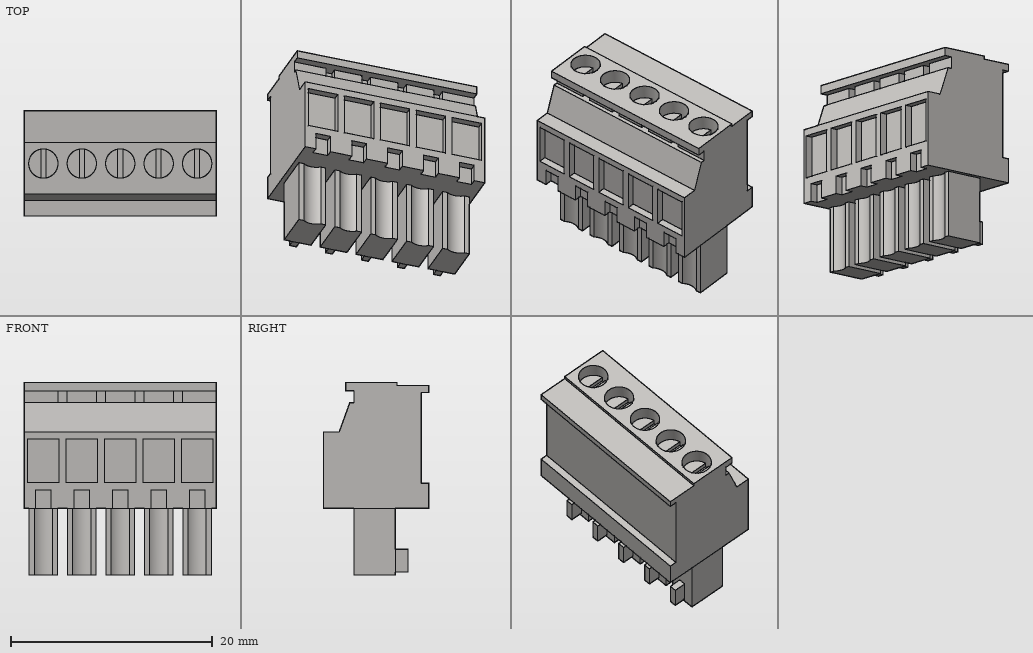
import cadquery as cq

pole_count = 5
width = 19.05
pitch = width / pole_count
pole_centres = [(i + 0.5) * pitch for i in range(pole_count)]
pole_boundaries = [i * pitch for i in range(1, pole_count)]

depth = 10.45
back_wall_y = 9.7
top_step_y = 7.3
neck_front_y = 3.02
slope_top_y = 2.6
lip_front_y = 2.2
slope_foot_y = 1.55

top_z = 19.1
back_flange_top_z = 18.8
lip_bottom_z = 18.26
back_flange_bottom_z = 18.09
neck_floor_z = 17.1
slope_foot_z = 14.2
back_foot_z = 9.11
base_z = 6.63

recess_depth = 0.76
window_width = 3.11
window_bottom_z = 9.19
window_top_z = 13.48
notch_width = 1.55
notch_top_z = 8.42
neck_gap_width = 0.9

prong_width = 2.85
prong_back_y = 7.12
groove_width = 1.8
groove_sag = 0.3
key_width = 0.73
key_back_y = 8.38
key_bottom_z = 0.3
key_top_z = 2.58

screw_diameter = 2.9
screw_y = 5.2
screw_top_z = 17.63
screw_height = 1.91
slot_width = 0.5
slot_depth = 0.5
screw_bottom_z = screw_top_z - screw_height


def block(x_centre, x_size, y_min, y_max, z_min, z_max):
    """Axis-aligned block centred on x_centre and spanning the given Y and Z ranges."""
    return (
        cq.Workplane("XY")
        .box(x_size, y_max - y_min, z_max - z_min, centered=(True, False, False))
        .translate((x_centre, y_min, z_min))
    )


def make_shell():
    """Housing above the prongs: the side profile extruded over the full width."""
    profile = [
        (0, base_z),
        (depth, base_z),
        (depth, back_foot_z),
        (back_wall_y, back_foot_z),
        (back_wall_y, back_flange_bottom_z),
        (depth, back_flange_bottom_z),
        (depth, back_flange_top_z),
        (top_step_y, back_flange_top_z),
        (top_step_y, top_z),
        (lip_front_y, top_z),
        (lip_front_y, lip_bottom_z),
        (neck_front_y, lip_bottom_z),
        (neck_front_y, neck_floor_z),
        (slope_top_y, neck_floor_z),
        (slope_foot_y, slope_foot_z),
        (0, slope_foot_z),
    ]
    return cq.Workplane("YZ").polyline(profile).close().extrude(width)


def make_prong(x):
    """Contact prong with a full-height arc groove in its front face and a key on its back."""
    half_groove = groove_width / 2
    half_prong = prong_width / 2
    body = (
        cq.Workplane("XY")
        .moveTo(x - half_prong, neck_front_y)
        .lineTo(x - half_groove, neck_front_y)
        .threePointArc((x, neck_front_y + groove_sag), (x + half_groove, neck_front_y))
        .lineTo(x + half_prong, neck_front_y)
        .lineTo(x + half_prong, prong_back_y)
        .lineTo(x - half_prong, prong_back_y)
        .close()
        .extrude(base_z)
    )
    key = block(x, key_width, prong_back_y, key_back_y, key_bottom_z, key_top_z)
    return body.union(key)


def make_screw_cylinder(x, z_top):
    """Cylinder on a screw axis, from the bore floor up to z_top."""
    return (
        cq.Workplane("XY", origin=(x, screw_y, screw_bottom_z))
        .circle(screw_diameter / 2)
        .extrude(z_top - screw_bottom_z)
    )


def make_housing():
    """Shell with its prongs, front windows, bottom notches, neck gaps and screw bores."""
    body = make_shell()
    for x in pole_centres:
        body = body.union(make_prong(x))
        body = body.cut(block(x, window_width, 0, recess_depth, window_bottom_z, window_top_z))
        body = body.cut(block(x, notch_width, 0, recess_depth, base_z, notch_top_z))
        body = body.cut(make_screw_cylinder(x, top_z))
    neck_gap_back_y = neck_front_y + recess_depth
    for x in pole_boundaries:
        body = body.cut(
            block(x, neck_gap_width, neck_front_y, neck_gap_back_y, neck_floor_z, lip_bottom_z)
        )
    return body


def make_screw(x):
    """Flat-topped screw with a driver slot along Y across its head."""
    slot = block(
        x,
        slot_width,
        screw_y - screw_diameter / 2,
        screw_y + screw_diameter / 2,
        screw_top_z - slot_depth,
        screw_top_z,
    )
    return make_screw_cylinder(x, screw_top_z).cut(slot)


housing = make_housing()
screws = [make_screw(x) for x in pole_centres]

result = cq.Compound.makeCompound([housing.val(), *[screw.val() for screw in screws]])